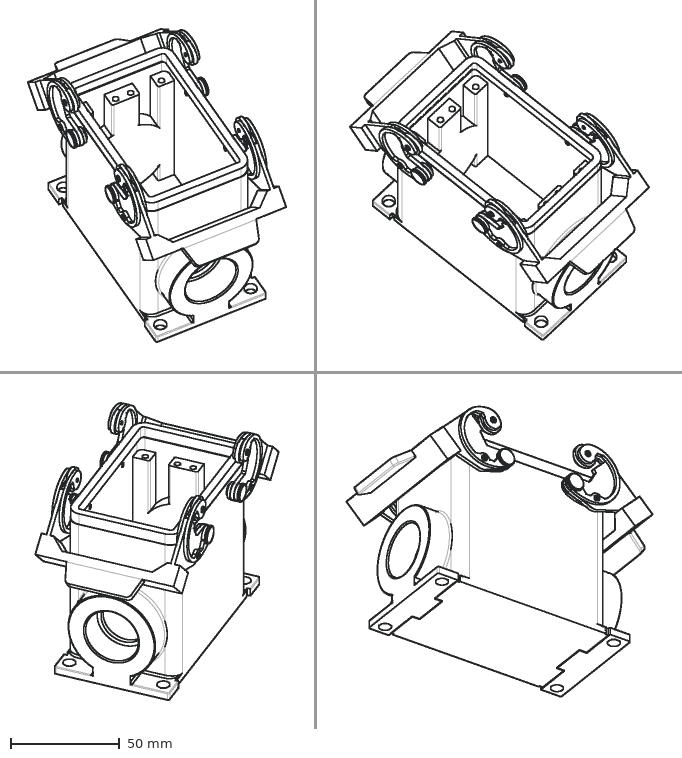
import cadquery as cq
import math

body_half_x = 41.5
body_half_y = 27.7
body_bottom = 0.4
body_top = 82.3
corner_radius = 6.0
collar_wall = 4.0
side_wall = 2.5
end_wall = 3.5
floor_top = 4.0
collar_inner_radius = 1.7
inner_corner_radius = 2.8
collar_height = 5.8
collar_inset = 0.1

foot_half_x = 53.2
foot_half_y = 28.7
foot_inner_x = 42.0
foot_height = 4.0
foot_corner = 0.8
web_half_x = 40.3
bridge_half_y = 27.1
foot_edge_radius = 0.4
foot_hole_radius = 3.0
foot_hole_x = 47.5
foot_hole_y = 23.5

entry_z = 27.5
entry_radius = 21.8
entry_chamfer = 0.4
neck_half_y = 9.3
bore_radius = 13.2
bore_chamfer = 0.7
bore_depth = 14.2
knockout_radius = 11.2
knockout_depth = 2.2
root_fillet = 1.0

post_inner_x = 30.3
post_top = 69.4
corner_post_inner_y = 16.7
middle_post_half_y = 7.3
post_edge_radius = 0.8
screw_x = 33.2
screw_y = (4.0, 20.0)
screw_hole_radius = 1.4
screw_hole_depth = 11.2

cheek_inner_y = 28.5
plate_inner_y = 30.0
plate_outer_y = 32.0
cheek_outer_y = 33.7
rivet_outer_y = 34.1
cap_outer_y = 69.8 / 2

cam_x = -28.7
cam_z = 80.1
cam_radius = 15.3
cam_inner_radius = 13.3
hook_x = -26.1
hook_z = 89.8
hook_radius = 4.4
hook_disc_radius = 5.6
peg_x = -19.1
peg_z = 71.8
peg_radius = 4.0
peg_cap_radius = 4.4
peg_cap_chamfer = 0.4
peg_shaft_radius = 2.8
peg_socket_radius = 1.1
peg_socket_depth = 1.1
peg_embed = 0.8
rivet_x = -31.0
rivet_z = 67.5
rivet_radius = 1.4
rivet_dimple_radius = 0.8
rivet_dimple_depth = 0.4
rivet_lobe_radius = 2.7
plate_lobe_radius = 5.0
notch_z = 91.9
plate_top_z = 76.1

bar_depth = 13.8
bar_end_thickness = 10.3
bar_middle_thickness = 4.4
bar_half_y = 34.5
bar_end_inner_y = 28.5
bar_middle_half_y = 22.5
bar_corner_x = -61.5

tip_x = -70.2
tab_slope = 33.0
tab_thickness = 3.8
tab_root_half_y = 19.0
tab_tip_half_y = 16.0
tab_corner_radius = 2.5
tab_edge_radius = 0.7
tab_embed = 2.1

inner_half_x = body_half_x - end_wall
inner_half_y = body_half_y - side_wall
diagonal = math.sqrt(0.5)
arm_offset = cam_z - cam_x + cam_radius / diagonal


def block(x0, x1, y0, y1, z0, z1):
    return cq.Workplane("XY").box(x1 - x0, y1 - y0, z1 - z0, centered=False).translate((x0, y0, z0))


def rounded_prism(half_x, half_y, radius, z0, z1):
    return block(-half_x, half_x, -half_y, half_y, z0, z1).edges("|Z").fillet(radius)


def both_ends(shape):
    return shape.union(shape.mirror("YZ"))


def side_plane(y):
    """XZ plane at -y, whose extrusions grow toward -Y."""
    return cq.Workplane("XZ", origin=(0, -y, 0))


def side_disc(x, z, radius, y0, y1):
    return side_plane(y0).center(x, z).circle(radius).extrude(y1 - y0)


def x_cylinder(radius, x0, x1):
    return cq.Workplane("YZ", origin=(x0, 0, entry_z)).circle(radius).extrude(x1 - x0)


def polar(x, z, radius, degrees):
    angle = math.radians(degrees)
    return (x + radius * math.cos(angle), z + radius * math.sin(angle))


def shell_outside():
    collar_bottom = body_top - collar_height
    lower = rounded_prism(body_half_x, body_half_y, corner_radius, body_bottom, collar_bottom)
    collar = rounded_prism(
        body_half_x - collar_inset, body_half_y - collar_inset, corner_radius, collar_bottom, body_top
    )
    web = block(-web_half_x, web_half_x, -body_half_y, body_half_y, body_bottom, foot_height)
    return lower.union(collar).union(web)


def cavity():
    """Inside of the shell, narrowed by the thicker collar around its mouth."""
    collar_bottom = body_top - collar_height
    mouth_half_x = body_half_x - collar_wall
    mouth_half_y = body_half_y - collar_wall
    lower = rounded_prism(inner_half_x, inner_half_y, inner_corner_radius, floor_top, collar_bottom)
    mouth = rounded_prism(mouth_half_x, mouth_half_y, collar_inner_radius, collar_bottom, body_top)
    return lower.union(mouth)


def entry_root():
    """Concave fillet ring where the cable entry meets the end wall."""
    back_x = -inner_half_x
    wall_x = -body_half_x
    front_x = wall_x - root_fillet
    rim = entry_radius + root_fillet
    bulge = root_fillet * (1 - diagonal)
    return (
        cq.Workplane("XY")
        .moveTo(back_x, 0)
        .lineTo(back_x, rim)
        .lineTo(wall_x, rim)
        .threePointArc((wall_x - bulge, entry_radius + bulge), (front_x, entry_radius))
        .lineTo(front_x, 0)
        .close()
        .revolve(360, (0, 0, 0), (1, 0, 0))
        .translate((0, 0, entry_z))
    )


def neck_roots():
    """Bevels where the entry neck meets the end wall and the foot."""
    root_half_y = neck_half_y + root_fillet
    root_x = -body_half_x - root_fillet
    wall_bevel = (
        cq.Workplane("XY", origin=(0, 0, body_bottom))
        .polyline(
            [
                (root_x, -neck_half_y),
                (-body_half_x, -root_half_y),
                (-inner_half_x, -root_half_y),
                (-inner_half_x, root_half_y),
                (-body_half_x, root_half_y),
                (root_x, neck_half_y),
            ]
        )
        .close()
        .extrude(entry_z - body_bottom)
    )
    foot_bevel = (
        cq.Workplane("YZ", origin=(-foot_half_x, 0, 0))
        .polyline(
            [
                (-root_half_y, foot_height),
                (-neck_half_y, foot_height + root_fillet),
                (neck_half_y, foot_height + root_fillet),
                (root_half_y, foot_height),
            ]
        )
        .close()
        .extrude(foot_half_x - body_half_x)
    )
    return wall_bevel.union(foot_bevel)


def shell_root():
    """Bevelled skirt where the end walls meet the feet."""
    skirt_half_x = body_half_x + root_fillet
    skirt_top = foot_height + root_fillet
    skirt = rounded_prism(skirt_half_x, body_half_y, corner_radius, body_bottom, skirt_top)
    return skirt.faces(">Z").edges().chamfer(root_fillet)


def entry_and_foot():
    """Foot with the cable entry above it, on the -X end."""
    foot = block(-foot_half_x, -foot_inner_x, -foot_half_y, foot_half_y, 0, foot_height)
    foot = foot.edges("|Z and <X").fillet(foot_corner)
    foot = foot.faces(">Z").edges("<Y or >Y").fillet(foot_edge_radius)
    bridge = block(-foot_inner_x, -inner_half_x, -bridge_half_y, bridge_half_y, body_bottom, foot_height)
    entry = x_cylinder(entry_radius, -foot_half_x, -inner_half_x).faces("<X").edges().chamfer(entry_chamfer)
    neck = block(-foot_half_x, -inner_half_x, -neck_half_y, neck_half_y, 0, entry_z)
    return foot.union(bridge).union(entry).union(neck).union(neck_roots()).union(entry_root())


def entry_bore():
    bore = x_cylinder(bore_radius, -foot_half_x, -foot_half_x + bore_depth)
    mouth = (
        cq.Workplane("YZ", origin=(-foot_half_x, 0, entry_z))
        .circle(bore_radius + bore_chamfer)
        .extrude(bore_chamfer, taper=45)
    )
    knockout = x_cylinder(knockout_radius, -foot_half_x, -foot_half_x + bore_depth + knockout_depth)
    holes = (
        cq.Workplane("XY")
        .pushPoints([(-foot_hole_x, -foot_hole_y), (-foot_hole_x, foot_hole_y)])
        .circle(foot_hole_radius)
        .extrude(foot_height)
    )
    return bore.union(mouth).union(knockout).union(holes)


def end_posts():
    """Screw posts and the inner end of the cable entry, on the -X end."""
    posts = x_cylinder(entry_radius, -body_half_x, -post_inner_x)
    spans = (
        (-body_half_y, -corner_post_inner_y),
        (-middle_post_half_y, middle_post_half_y),
        (corner_post_inner_y, body_half_y),
    )
    for y0, y1 in spans:
        post = block(-body_half_x, -post_inner_x, y0, y1, body_bottom, post_top)
        posts = posts.union(post.edges("|Z and >X").fillet(post_edge_radius))
    inside = block(-inner_half_x, 0, -inner_half_y, inner_half_y, floor_top, post_top)
    posts = posts.intersect(inside)
    screws = [(-screw_x, side * y) for y in screw_y for side in (-1, 1)]
    holes = (
        cq.Workplane("XY", origin=(0, 0, post_top))
        .pushPoints(screws)
        .circle(screw_hole_radius)
        .extrude(-screw_hole_depth)
    )
    return posts.cut(holes)


def peg_sockets():
    """Blind holes in the inside of the long walls, behind the lever pegs."""
    reach = inner_half_y + peg_socket_depth
    return (
        cq.Workplane("XZ", origin=(0, reach, 0))
        .pushPoints([(peg_x, peg_z), (-peg_x, peg_z)])
        .circle(peg_socket_radius)
        .extrude(2 * reach)
    )


def cheek_outline(plane):
    """Crescent-shaped cheek running from the hook around the cam to the peg."""
    inner_rise = notch_z - cam_z
    inner_start_x = cam_x - math.sqrt(cam_inner_radius**2 - inner_rise**2)
    return (
        plane.moveTo(cam_x, cam_z + cam_radius)
        .threePointArc((-23.5, 93.1), (hook_x + hook_radius, hook_z))
        .threePointArc((hook_x, hook_z - hook_radius), (hook_x - hook_radius, hook_z))
        .lineTo(-31.6, notch_z)
        .lineTo(inner_start_x, notch_z)
        .threePointArc((cam_x - cam_inner_radius, cam_z), polar(cam_x, cam_z, cam_inner_radius, 238))
        .lineTo(*polar(rivet_x, rivet_z, rivet_lobe_radius, 140))
        .threePointArc(
            (rivet_x, rivet_z + rivet_lobe_radius), polar(rivet_x, rivet_z, rivet_lobe_radius, 40)
        )
        .lineTo(-27.8, 67.7)
        .lineTo(-25.3, 67.7)
        .lineTo(*polar(peg_x, peg_z, peg_cap_radius, 195))
        .lineTo(peg_x, peg_z)
        .lineTo(*polar(peg_x, peg_z, peg_cap_radius, 290))
        .threePointArc((-23.3, 65.5), (cam_x, cam_z - cam_radius))
        .threePointArc((cam_x - cam_radius, cam_z), (cam_x, cam_z + cam_radius))
        .close()
    )


def plate_outline(plane):
    """Middle plate: the arm, the cam web and the lobe below the rivet."""
    bar_x = bar_corner_x + bar_end_thickness * diagonal
    bar_z = bar_x + arm_offset
    drop = bar_depth * diagonal
    throat = (-30.8, 84.2)
    arm_tip_x = (sum(throat) - arm_offset) / 2
    return (
        plane.moveTo(bar_x, bar_z)
        .lineTo(arm_tip_x, arm_tip_x + arm_offset)
        .lineTo(*throat)
        .lineTo(-31.9, 82.3)
        .lineTo(-29.0, 77.0)
        .lineTo(-28.0, plate_top_z)
        .lineTo(peg_x, plate_top_z)
        .lineTo(*polar(peg_x, peg_z, peg_cap_radius, 290))
        .lineTo(*polar(rivet_x, rivet_z, plate_lobe_radius, 300))
        .threePointArc(
            (rivet_x, rivet_z - plate_lobe_radius), polar(rivet_x, rivet_z, plate_lobe_radius, 250)
        )
        .lineTo(bar_x + drop, bar_z - drop)
        .close()
    )


def lever_side():
    """Cheeks, plate, rivets and pivot peg on the -Y side."""
    inner_cheek = cheek_outline(side_plane(cheek_inner_y)).extrude(plate_inner_y - cheek_inner_y)
    outer_cheek = cheek_outline(side_plane(plate_outer_y)).extrude(cheek_outer_y - plate_outer_y)
    plate = plate_outline(side_plane(plate_inner_y)).extrude(plate_outer_y - plate_inner_y)
    hook_disc = side_disc(hook_x, hook_z, hook_disc_radius, plate_inner_y, plate_outer_y)
    dimple_bottom_y = cheek_inner_y + rivet_dimple_depth
    side = plate.union(inner_cheek).union(outer_cheek).union(hook_disc)
    for x, z in ((hook_x, hook_z), (rivet_x, rivet_z)):
        rivet = side_disc(x, z, rivet_radius, cheek_inner_y, rivet_outer_y)
        outer_dimple = side_disc(x, z, rivet_dimple_radius, cheek_outer_y, rivet_outer_y)
        inner_dimple = side_disc(x, z, rivet_dimple_radius, cheek_inner_y, dimple_bottom_y)
        side = side.union(rivet).cut(outer_dimple).cut(inner_dimple)
    shaft = side_disc(peg_x, peg_z, peg_shaft_radius, body_half_y - peg_embed, cheek_inner_y)
    peg = side_disc(peg_x, peg_z, peg_radius, cheek_inner_y, cheek_outer_y)
    collar = side_disc(peg_x, peg_z, peg_cap_radius, plate_inner_y, plate_outer_y)
    cap = side_disc(peg_x, peg_z, peg_cap_radius, cheek_outer_y, cap_outer_y)
    cap = cap.faces("<Y").edges().chamfer(peg_cap_chamfer)
    return side.union(shaft).union(peg).union(collar).union(cap)


def handle_bar():
    corner = (bar_corner_x, 0, bar_corner_x + arm_offset)
    plane = cq.Plane(origin=corner, xDir=(1, 0, 1), normal=(1, 0, -1))
    return (
        cq.Workplane(plane)
        .polyline(
            [
                (0, -bar_half_y),
                (bar_end_thickness, -bar_half_y),
                (bar_end_thickness, -bar_end_inner_y),
                (bar_middle_thickness, -bar_middle_half_y),
                (bar_middle_thickness, bar_middle_half_y),
                (bar_end_thickness, bar_end_inner_y),
                (bar_end_thickness, bar_half_y),
                (0, bar_half_y),
            ]
        )
        .close()
        .extrude(bar_depth)
    )


def finger_tab():
    slope = math.radians(tab_slope)
    length = (bar_corner_x - tip_x) / math.cos(slope)
    tip_z = bar_corner_x + arm_offset - length * math.sin(slope)
    plane = cq.Plane(
        origin=(tip_x, 0, tip_z),
        xDir=(math.cos(slope), 0, math.sin(slope)),
        normal=(math.sin(slope), 0, -math.cos(slope)),
    )
    tab = (
        cq.Workplane(plane)
        .polyline(
            [
                (0, -tab_tip_half_y),
                (length, -tab_root_half_y),
                (length + tab_embed, -tab_root_half_y),
                (length + tab_embed, tab_root_half_y),
                (length, tab_root_half_y),
                (0, tab_tip_half_y),
            ]
        )
        .close()
        .extrude(tab_thickness)
    )
    across = cq.selectors.ParallelDirSelector(plane.zDir)
    tip_end_x = tip_x + tab_thickness
    tip = cq.selectors.BoxSelector((tip_x, -bar_half_y, 0), (tip_end_x, bar_half_y, body_top))
    tab = tab.edges(across & tip).fillet(tab_corner_radius)
    lower_face = cq.selectors.DirectionNthSelector(plane.zDir, -1)
    return tab.faces(lower_face).edges(tip).fillet(tab_edge_radius)


def lever():
    side = lever_side()
    return side.union(side.mirror("XZ")).union(handle_bar()).union(finger_tab())


housing = shell_outside().union(shell_root()).union(both_ends(entry_and_foot()))
housing = housing.cut(cavity()).union(both_ends(end_posts())).cut(both_ends(entry_bore()))
housing = housing.cut(peg_sockets())
result = housing.union(both_ends(lever()))